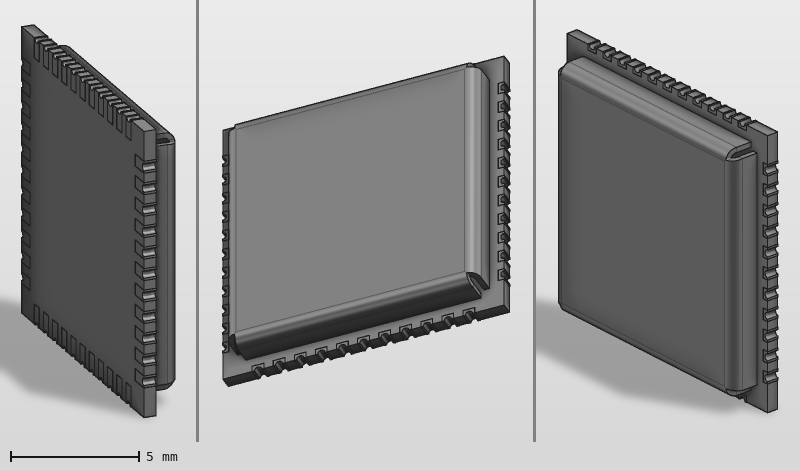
import cadquery as cq

board_size = 12.0
board_thickness = 0.52
board_front_y = 0.0
board_back_y = board_front_y + board_thickness

plating = 0.01
pad_count = 11
pad_pitch = 0.9
pad_width = 0.5
pad_front_length = 0.84
pad_back_length = 0.25
notch_radius = 0.15

total_depth = 1.78
can_height = total_depth - plating - board_thickness
can_size = 10.75
sheet = 0.23
bend_radius = 0.5
flap_end_taper = 8.0
flap_width = 10.04

edge_angles = [0, 90, 180, 270]
half_board = board_size / 2


def turned(body, angle):
    """Turn a body about the Y axis, from the +Z edge to another edge."""
    return body.rotate((0, 0, 0), (0, 1, 0), angle)


def block(width, y_start, y_end, z_start, z_end):
    """Box centred on X = 0 between the given Y and Z limits."""
    return (
        cq.Workplane("XY")
        .box(width, y_end - y_start, z_end - z_start, centered=(True, False, False))
        .translate((0, y_start, z_start))
    )


def make_pad():
    """Plating wrapped around the +Z board edge at X = 0."""
    pad_front_y = board_front_y - plating
    pad_back_y = board_back_y + plating
    pad_outer_z = half_board + plating
    front = block(pad_width, pad_front_y, board_back_y, half_board - pad_front_length, pad_outer_z)
    back = block(pad_width, board_front_y, pad_back_y, half_board - pad_back_length, pad_outer_z)
    return front.union(back)


def make_notch():
    """Round cutter through the board and its plating, centred on the +Z pad's outer face."""
    cutter_overrun = 2 * plating
    cutter_length = board_thickness + 2 * cutter_overrun
    return (
        cq.Workplane("XZ", origin=(0, board_front_y - cutter_overrun, half_board + plating))
        .circle(notch_radius)
        .extrude(-cutter_length)
    )


def make_board():
    """Board with its pads and edge notches as one solid."""
    board = block(board_size, board_front_y, board_back_y, -half_board, half_board)
    pad = make_pad()
    notch = make_notch()
    pad_positions = [(i - (pad_count - 1) / 2) * pad_pitch for i in range(pad_count)]
    for angle in edge_angles:
        for x in pad_positions:
            board = board.union(turned(pad.translate((x, 0, 0)), angle))
    for angle in edge_angles:
        for x in pad_positions:
            board = board.cut(turned(notch.translate((x, 0, 0)), angle))
    return board


def rounded_box(size, height, radius):
    """Square box standing on the board's back face, with its far edges rounded."""
    return (
        block(size, board_back_y, board_back_y + height, -size / 2, size / 2)
        .faces(">Y")
        .edges()
        .fillet(radius)
    )


def make_corner_cutter():
    """Square clearance at the +X +Z corner, widening over the height of the bends."""
    corner_size = can_size - flap_width
    corner_centre = (flap_width + corner_size) / 2
    straight_height = can_height - bend_radius
    bend_start_y = board_back_y + straight_height
    straight = block(
        corner_size, board_back_y, bend_start_y, flap_width / 2, flap_width / 2 + corner_size
    ).translate((corner_centre, 0, 0))
    widening = (
        cq.Workplane("XZ", origin=(corner_centre, bend_start_y, corner_centre))
        .rect(corner_size, corner_size)
        .extrude(-bend_radius, taper=-flap_end_taper)
    )
    return straight.union(widening)


def make_can():
    """Hollow can with four bent flaps, cut away at the corners between them."""
    can = rounded_box(can_size, can_height, bend_radius)
    can = can.cut(rounded_box(can_size - 2 * sheet, can_height - sheet, bend_radius - sheet))
    corner = make_corner_cutter()
    for angle in edge_angles:
        can = can.cut(turned(corner, angle))
    return can


board = make_board()
can = make_can()

result = cq.Compound.makeCompound([board.val(), can.val()])